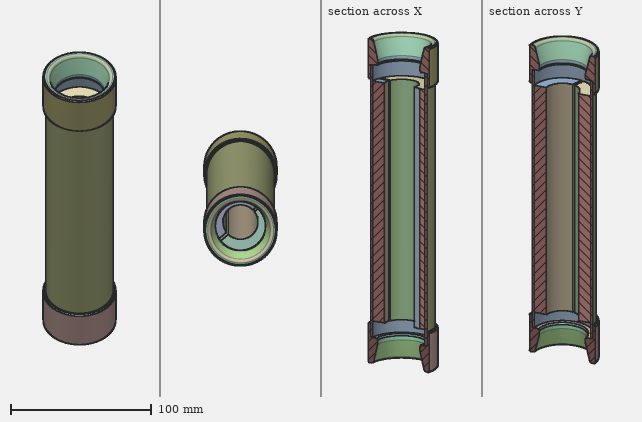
import cadquery as cq

TOTAL_LENGTH = 240.0
CAP_DIAMETER = 52.0
CAP_LENGTH = 30.0
CAP_CHAMFER = 1.0

MOUTH_DIAMETER = 43.2
LIP_RADIUS = 2.5
TAPER_DEPTH = CAP_LENGTH / 2
NECK_DIAMETER = 35.8
NECK_LENGTH = 3.0
UNDERCUT_WIDTH = 0.7
UNDERCUT_HEIGHT = 1.5

TUBE_DIAMETER = 48.2
TUBE_BORE_DIAMETER = 44.0

LINER_BORE_DIAMETER = 25.0
LINER_END_DEPTH = 31.2
LINER_GAP = 2.0
LINER_GAP_ANGLE = 75.0

CAP_BOTTOM = TOTAL_LENGTH - CAP_LENGTH
TAPER_BOTTOM = TOTAL_LENGTH - TAPER_DEPTH
NECK_BOTTOM = TAPER_BOTTOM - NECK_LENGTH
SOCKET_TOP = NECK_BOTTOM - UNDERCUT_HEIGHT
TUBE_BOTTOM = TOTAL_LENGTH - SOCKET_TOP
TUBE_LENGTH = SOCKET_TOP - TUBE_BOTTOM
LINER_LENGTH = TOTAL_LENGTH - 2 * LINER_END_DEPTH


def make_ring(outer_diameter, inner_diameter, bottom, length):
    """Plain hollow cylinder on the Z axis."""
    return (
        cq.Workplane("XY")
        .workplane(offset=bottom)
        .circle(outer_diameter / 2)
        .circle(inner_diameter / 2)
        .extrude(length)
    )


def make_cap_bore():
    """Solid of revolution that fills the whole opening through the upper cap."""
    profile = (
        cq.Workplane("XZ")
        .moveTo(0, CAP_BOTTOM)
        .lineTo(TUBE_DIAMETER / 2, CAP_BOTTOM)
        .lineTo(TUBE_DIAMETER / 2, SOCKET_TOP)
        .lineTo(NECK_DIAMETER / 2 + UNDERCUT_WIDTH, SOCKET_TOP)
        .lineTo(NECK_DIAMETER / 2, NECK_BOTTOM)
        .lineTo(NECK_DIAMETER / 2, TAPER_BOTTOM)
        .lineTo(MOUTH_DIAMETER / 2, TOTAL_LENGTH)
        .lineTo(0, TOTAL_LENGTH)
        .close()
    )
    return profile.revolve(360, (0, 0, 0), (0, 1, 0))


def make_upper_cap():
    """Sleeve that takes the tube end from below and has a tapered mouth on top."""
    blank = (
        cq.Workplane("XY")
        .workplane(offset=CAP_BOTTOM)
        .circle(CAP_DIAMETER / 2)
        .extrude(CAP_LENGTH)
        .edges("%CIRCLE")
        .chamfer(CAP_CHAMFER)
    )
    cap = blank.cut(make_cap_bore())
    mouth_edge = cq.selectors.RadiusNthSelector(0)
    return cap.faces(">Z").edges(mouth_edge).fillet(LIP_RADIUS)


def make_liner_half(turn):
    """Half ring on one side of the gap plane, turned about the tube axis."""
    ring = make_ring(TUBE_BORE_DIAMETER, LINER_BORE_DIAMETER, LINER_END_DEPTH, LINER_LENGTH)
    kept_side = (
        cq.Workplane("XY")
        .workplane(offset=LINER_END_DEPTH)
        .center(0, LINER_GAP / 2)
        .rect(TUBE_BORE_DIAMETER, TUBE_BORE_DIAMETER, centered=(True, False))
        .extrude(LINER_LENGTH)
    )
    half = ring.intersect(kept_side)
    return half.rotate((0, 0, 0), (0, 0, 1), LINER_GAP_ANGLE + turn)


tube = make_ring(TUBE_DIAMETER, TUBE_BORE_DIAMETER, TUBE_BOTTOM, TUBE_LENGTH)

upper_cap = make_upper_cap()
middle = TOTAL_LENGTH / 2
lower_cap = upper_cap.rotate((0, 0, middle), (1, 0, middle), 180)

liner_halves = [make_liner_half(turn) for turn in (0, 180)]

result = cq.Compound.makeCompound(
    [tube.val(), upper_cap.val(), lower_cap.val(), *[half.val() for half in liner_halves]]
)